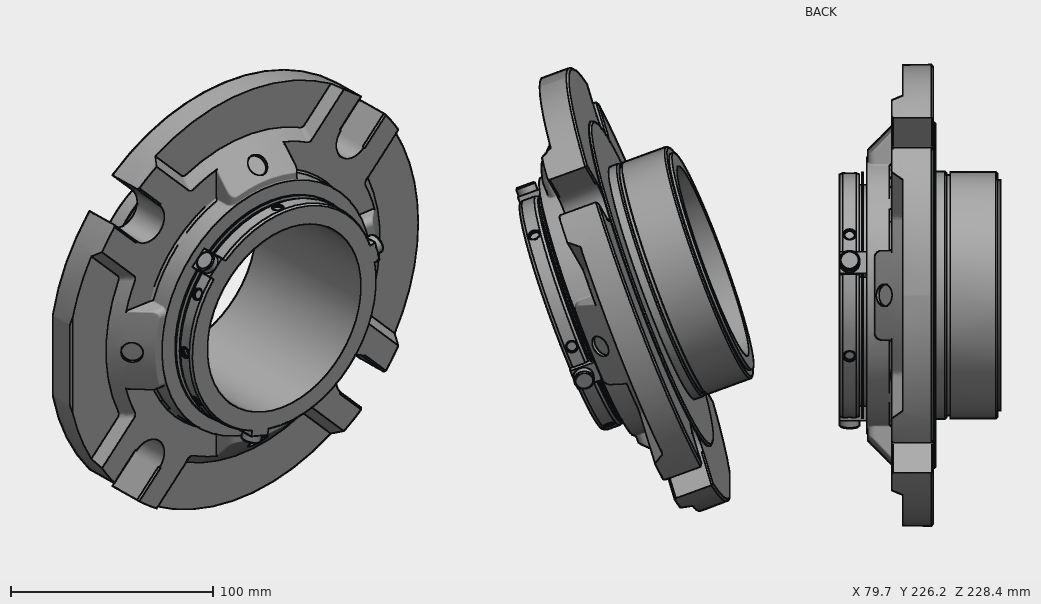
import cadquery as cq
import math

bore_radius = 50.0
shaft_radius = 54.8

lip_radius = 57.0
sleeve_radius = 122.2 / 2
sleeve_groove_radius = 59.5
sleeve_rear_radius = 122.6 / 2
lip_end_x = 1.48
groove_start_x = 25.0
groove_end_x = 26.7
sleeve_edge = 1.0

pilot_radius = 85.6
pilot_edge = 1.0
pilot_face_x = 32.0
pilot_height = 1.25
flange_radius = 114.2
flange_face_x = pilot_face_x + pilot_height
rim_back_x = 48.5
pad_back_x = 54.0
rim_edge = 1.03
flat_distance = 112.0

slot_count = 4
slot_radius = 10.5
slot_centre_radius = 94.0
slot_edge = 1.0
pad_half_width = 29.5
pad_inner_end = 68.5
pad_side_slope = 4.3
pad_root_fillet = 3.5

hub_radius = 68.0
hub_end_x = 66.2
hub_root_fillet = 1.1
cone_sum = 137.7
boss_half_width = 22.1
boss_end_x = 65.8
short_boss_end_x = 62.3
boss_edge = 1.0
boss_root_fillet = 1.0
boss_corner = 3.7
port_radius = 5.5
port_depth = 1.8
side_port_x = 57.5
upright_port_x = 59.5

disc_start_x = 67.8
disc_end_x = 68.7
disc_radius = 61.0
collar_start_x = 69.9
collar_end_x = 79.7
collar_radius = 60.5
collar_edge = 1.5
collar_edge_drop = 0.7

clip_angles = (15, 135, 255)
clip_half_width = 5.5
clip_radius = 62.8
screw_x = 74.7
screw_head_radius = 5.0
screw_end_radius = 67.1
screw_edge = 0.7

set_screw_angles = (30, 90, 150, 180, 210, 270, 330)
socket_angle = 180
set_hole_radius = 3.0
set_hole_depth = 0.7
set_screw_radius = 2.5
set_screw_depth = 1.4
socket_radius = 1.8
socket_depth = 2.7


def turned(points):
    """Solid of revolution about the X axis from (x, radius) points."""
    return cq.Workplane("XY").polyline(points).close().revolve(360, (0, 0), (1, 0))


def disc(radius, start_x, end_x):
    return cq.Workplane("YZ", origin=(start_x, 0, 0)).circle(radius).extrude(end_x - start_x)


def around(shape, angle):
    """Turn a shape lying towards +Y about the X axis."""
    return shape.rotate((0, 0, 0), (1, 0, 0), angle)


def radial_pin(x, radius, inner, outer):
    """Cylinder along +Y between two distances from the axis."""
    return cq.Workplane("XZ", origin=(x, inner, 0)).circle(radius).extrude(inner - outer)


def make_slot():
    """Open-ended bolt slot towards +Y, with bevelled straight sides."""
    beyond = flange_radius + slot_radius
    thickness = pad_back_x - flange_face_x
    slot = (
        cq.Workplane("YZ", origin=(flange_face_x, 0, 0))
        .moveTo(beyond, -slot_radius)
        .lineTo(slot_centre_radius, -slot_radius)
        .threePointArc((slot_centre_radius - slot_radius, 0), (slot_centre_radius, slot_radius))
        .lineTo(beyond, slot_radius)
        .close()
        .extrude(thickness)
    )
    wide = slot_radius + slot_edge
    bevelled_opening = (
        cq.Workplane("XZ", origin=(0, slot_centre_radius, 0))
        .polyline([
            (flange_face_x, -wide),
            (flange_face_x + slot_edge, -slot_radius),
            (pad_back_x - slot_edge, -slot_radius),
            (pad_back_x, -wide),
            (pad_back_x, wide),
            (pad_back_x - slot_edge, slot_radius),
            (flange_face_x + slot_edge, slot_radius),
            (flange_face_x, wide),
        ])
        .close()
        .extrude(slot_centre_radius - beyond)
    )
    return slot.union(bevelled_opening)


def make_sleeve():
    return turned([
        (0, 0),
        (0, lip_radius),
        (lip_end_x, lip_radius),
        (lip_end_x, sleeve_radius - sleeve_edge),
        (lip_end_x + sleeve_edge, sleeve_radius),
        (groove_start_x, sleeve_radius),
        (groove_start_x, sleeve_groove_radius),
        (groove_end_x, sleeve_groove_radius),
        (groove_end_x, sleeve_rear_radius - sleeve_edge),
        (groove_end_x + sleeve_edge, sleeve_rear_radius),
        (pilot_face_x, sleeve_rear_radius),
        (pilot_face_x, shaft_radius),
        (collar_end_x, shaft_radius),
        (collar_end_x, 0),
    ])


def make_pad():
    """Raised land beside the bolt slot that lies towards +Y; its sides lean inwards."""
    base = pad_half_width
    top = pad_half_width - pad_side_slope
    land = (
        cq.Workplane("XZ", origin=(0, pad_inner_end, 0))
        .polyline([(rim_back_x, -base), (pad_back_x, -top), (pad_back_x, top), (rim_back_x, base)])
        .close()
        .extrude(pad_inner_end - flange_radius)
    )
    return land.intersect(disc(flange_radius, rim_back_x, pad_back_x))


def make_flat_cutter():
    """Material beyond the flat on the -Y side, with a bevel at both ends of the flat."""
    flat = -flat_distance
    return (
        cq.Workplane("XY")
        .polyline([
            (flange_face_x, flat + rim_edge),
            (flange_face_x + rim_edge, flat),
            (rim_back_x - rim_edge, flat),
            (rim_back_x, flat + rim_edge),
            (rim_back_x, -flange_radius),
            (flange_face_x, -flange_radius),
        ])
        .close()
        .extrude(flange_radius, both=True)
    )


def make_flange():
    flange = disc(flange_radius, flange_face_x, rim_back_x).faces("<X").edges().chamfer(rim_edge)
    step = 360 / slot_count
    slot_angles = [step * (index + 0.5) for index in range(slot_count)]
    back = turned([
        (rim_back_x, 0),
        (rim_back_x, cone_sum - rim_back_x),
        (pad_back_x, cone_sum - pad_back_x),
        (pad_back_x, 0),
    ])
    for angle in slot_angles:
        back = back.union(around(make_pad(), angle))
    corners = back.faces("%CONE").edges("not %CIRCLE")
    back = corners.fillet(pad_root_fillet)
    flange = flange.union(back).cut(make_flat_cutter())
    for angle in slot_angles:
        flange = flange.cut(around(make_slot(), angle))
    return flange


def make_boss(end_x):
    """Port boss towards +Y, cut from the cone and rounded along its outer edges."""
    cone = turned([
        (pad_back_x, 0),
        (pad_back_x, cone_sum - pad_back_x),
        (end_x, cone_sum - end_x),
        (end_x, 0),
    ])
    block = (
        cq.Workplane("XY", origin=(pad_back_x, 0, 0))
        .box(end_x - pad_back_x, flange_radius, 2 * boss_half_width, centered=(False, False, True))
        .faces(">X").edges("|Y").fillet(boss_corner)
    )
    boss = around(cone, 180).intersect(block)
    return boss.faces("%CONE").edges("not <X").fillet(boss_edge)


def make_port(x):
    """Shallow round hole square to the cone, towards +Y."""
    surface = cq.Plane(origin=(x, cone_sum - x, 0), xDir=(0, 0, 1), normal=(1, 1, 0))
    return cq.Workplane(surface).circle(port_radius).extrude(port_depth, both=True)


def is_boss_root(edge):
    """True for an edge where a boss meets the hub cylinder."""
    tolerance = 0.02
    ends = (edge.startPoint(), edge.endPoint())
    on_hub = all(abs(math.hypot(point.y, point.z) - hub_radius) < tolerance for point in ends)
    return on_hub and pad_back_x + tolerance < edge.BoundingBox().xmax < hub_end_x - tolerance


def make_hub():
    hub = disc(hub_radius, pad_back_x, hub_end_x)
    hub = hub.union(make_boss(short_boss_end_x))
    for angle in (90, 180, 270):
        hub = hub.union(around(make_boss(boss_end_x), angle))
    boss_roots = [edge for edge in hub.edges().vals() if is_boss_root(edge)]
    hub = hub.newObject(boss_roots).fillet(boss_root_fillet)
    diagonal = hub_root_fillet * (1 - math.sqrt(0.5))
    root_ring = (
        cq.Workplane("XY")
        .moveTo(pad_back_x, shaft_radius)
        .lineTo(pad_back_x, hub_radius + hub_root_fillet)
        .threePointArc(
            (pad_back_x + diagonal, hub_radius + diagonal),
            (pad_back_x + hub_root_fillet, hub_radius),
        )
        .lineTo(pad_back_x + hub_root_fillet, shaft_radius)
        .close()
        .revolve(360, (0, 0), (1, 0))
    )
    return hub.union(root_ring)


def make_pilot():
    """Locating spigot on the front of the flange."""
    pilot = disc(pilot_radius, pilot_face_x, flange_face_x)
    return pilot.faces("<X").edges().chamfer(pilot_edge)


def make_collar():
    collar = turned([
        (collar_start_x, 0),
        (collar_start_x, collar_radius - collar_edge_drop),
        (collar_start_x + collar_edge, collar_radius),
        (collar_end_x - collar_edge, collar_radius),
        (collar_end_x, collar_radius - collar_edge_drop),
        (collar_end_x, 0),
    ])
    collar = collar.union(disc(disc_radius, disc_start_x, disc_end_x))
    set_hole = radial_pin(screw_x, set_hole_radius, collar_radius - set_hole_depth, flange_radius)
    set_recess = radial_pin(screw_x, set_screw_radius, collar_radius - set_screw_depth, flange_radius)
    socket = radial_pin(screw_x, socket_radius, collar_radius - socket_depth, flange_radius)
    for angle in set_screw_angles:
        collar = collar.cut(around(set_hole.union(set_recess), angle))
    collar = collar.cut(around(socket, socket_angle))
    clip = cq.Workplane("XY", origin=(hub_end_x, 0, 0)).box(
        collar_end_x - hub_end_x, clip_radius, 2 * clip_half_width, centered=(False, False, True)
    )
    screw = radial_pin(screw_x, screw_head_radius, shaft_radius, screw_end_radius)
    screw = screw.faces(">Y").edges().chamfer(screw_edge)
    for angle in clip_angles:
        collar = collar.union(around(clip.union(screw), angle))
    return collar


body = make_sleeve()
for part in (make_flange(), make_pilot(), make_hub(), make_collar()):
    body = body.union(part, clean=False)
ports = ((0, side_port_x), (90, upright_port_x), (180, side_port_x), (270, upright_port_x))
for port_angle, port_x in ports:
    body = body.cut(around(make_port(port_x), port_angle), clean=False)
result = body.cut(disc(bore_radius, 0, collar_end_x), clean=False)